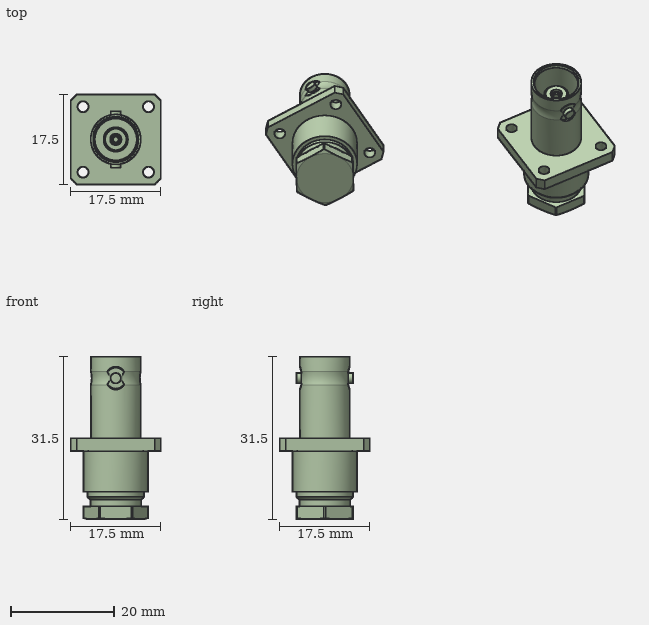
import cadquery as cq
import math

TOTAL_HEIGHT = 31.5
NUT_TOP = 2.5
NECK_TOP = 3.75
RING_CONE_TOP = 4.3
COLLAR_BOTTOM = 5.3
FLANGE_BOTTOM = 13.2
FLANGE_TOP = 15.72
GROOVE_BOTTOM = 26.05
PIN_HEIGHT = 27.35
GROOVE_TOP = 28.63

NUT_ACROSS_FLATS = 11.02
COLLAR_DIA = 12.55
RING_DIA = NUT_ACROSS_FLATS
NECK_DIA = 9.9
NUT_BEVEL_HEIGHT = 0.22

FLANGE_SIDE = 17.5
FLANGE_CORNER = 1.2
HOLE_SPACING = 12.7
HOLE_DIA = 2.08

TUBE_DIA = 9.7
GROOVE_DEPTH = 0.15
SPOTFACE_DIA = 4.03
SPOTFACE_FLARE = 35.0
SPOTFACE_ACROSS = 9.1
PIN_DIA = 2.02
PIN_TIP_SPAN = 11.02

MOUTH_DIA = 8.82
ENTRY_DIA = 8.4
FLOOR_DIA = 8.1
MOUTH_DEPTH = 0.45
CAVITY_DEPTH = 8.82

INSULATOR_DIA = 4.75
INSULATOR_RECESS = 3.3
INSULATOR_CHAMFER = 0.3
CONTACT_SEAT_DIA = 2.25
CONTACT_RIM_DIA = 1.92
CONTACT_RIM_RECESS = 0.47
CONTACT_FUNNEL_DIA = 1.58
CONTACT_BORE_DIA = 1.1
CONTACT_FUNNEL_DEPTH = 0.25
CONTACT_BORE_DEPTH = 2.52


def disc(diameter, bottom, top):
    """Upright cylinder on the Z axis."""
    return cq.Workplane("XY").workplane(offset=bottom).circle(diameter / 2).extrude(top - bottom)


def turned(stations):
    """Solid of revolution about Z through (diameter, height) stations, listed from one end to the other."""
    profile = [(diameter / 2, height) for diameter, height in stations]
    outline = [(0, stations[0][1])] + profile + [(0, stations[-1][1])]
    return cq.Workplane("XZ").polyline(outline).close().revolve(360, (0, 0), (0, 1))


def hex_nut():
    """Hexagon with two corners on X, its corners turned down and its lower rim bevelled."""
    across_corners = NUT_ACROSS_FLATS / math.cos(math.pi / 6)
    hexagon = cq.Workplane("XY").polygon(6, across_corners).extrude(NUT_TOP)
    envelope = turned([
        (NUT_ACROSS_FLATS, 0),
        (COLLAR_DIA, NUT_BEVEL_HEIGHT),
        (COLLAR_DIA, NUT_TOP),
    ])
    return hexagon.intersect(envelope)


def lower_body():
    """Neck, coned ring and collar, from the nut up to the flange."""
    return turned([
        (NECK_DIA, NUT_TOP),
        (NECK_DIA, NECK_TOP),
        (RING_DIA, RING_CONE_TOP),
        (RING_DIA, COLLAR_BOTTOM),
        (COLLAR_DIA, COLLAR_BOTTOM),
        (COLLAR_DIA, FLANGE_BOTTOM),
    ])


def flange():
    """Square plate with cut corners and four mounting holes."""
    return (
        cq.Workplane("XY").workplane(offset=FLANGE_BOTTOM)
        .rect(FLANGE_SIDE, FLANGE_SIDE).extrude(FLANGE_TOP - FLANGE_BOTTOM)
        .edges("|Z").chamfer(FLANGE_CORNER)
        .faces(">Z").workplane()
        .rect(HOLE_SPACING, HOLE_SPACING, forConstruction=True).vertices().hole(HOLE_DIA)
    )


def tube():
    """Solid tube blank with a shallow round groove at the height of the pins."""
    radius = TUBE_DIA / 2
    return (
        cq.Workplane("XZ").moveTo(0, FLANGE_TOP)
        .lineTo(radius, FLANGE_TOP)
        .lineTo(radius, GROOVE_BOTTOM)
        .threePointArc((radius - GROOVE_DEPTH, PIN_HEIGHT), (radius, GROOVE_TOP))
        .lineTo(radius, TOTAL_HEIGHT)
        .lineTo(0, TOTAL_HEIGHT)
        .close().revolve(360, (0, 0), (0, 1))
    )


def spotfaces():
    """Flaring round cutters that leave a flat at the foot of each pin."""
    cutter = (
        cq.Workplane("XZ", origin=(0, -SPOTFACE_ACROSS / 2, PIN_HEIGHT))
        .circle(SPOTFACE_DIA / 2)
        .extrude((PIN_TIP_SPAN - SPOTFACE_ACROSS) / 2, taper=-SPOTFACE_FLARE)
    )
    return cutter.union(cutter.mirror("XZ"))


def pins():
    """Bayonet pins along Y, their tips rounded to a cylinder about Z."""
    cross_bar = (
        cq.Workplane("XZ").center(0, PIN_HEIGHT)
        .circle(PIN_DIA / 2).extrude(PIN_TIP_SPAN, both=True)
    )
    return cross_bar.intersect(disc(PIN_TIP_SPAN, FLANGE_TOP, TOTAL_HEIGHT))


def cavity():
    """Chamfered mouth and a bore that tapers down to a flat floor."""
    return turned([
        (MOUTH_DIA, TOTAL_HEIGHT),
        (ENTRY_DIA, TOTAL_HEIGHT - MOUTH_DEPTH),
        (FLOOR_DIA, TOTAL_HEIGHT - CAVITY_DEPTH),
    ])


def insulator():
    """Chamfered post standing on the cavity floor, with the funnelled contact in its end."""
    top = TOTAL_HEIGHT - INSULATOR_RECESS
    rim = top - CONTACT_RIM_RECESS
    post = disc(INSULATOR_DIA, TOTAL_HEIGHT - CAVITY_DEPTH, top).faces(">Z").chamfer(INSULATOR_CHAMFER)
    contact_hole = turned([
        (CONTACT_SEAT_DIA, top),
        (CONTACT_RIM_DIA, rim),
        (CONTACT_FUNNEL_DIA, rim),
        (CONTACT_BORE_DIA, rim - CONTACT_FUNNEL_DEPTH),
        (CONTACT_BORE_DIA, rim - CONTACT_BORE_DEPTH),
    ])
    return post.cut(contact_hole)


socket = tube().cut(spotfaces()).union(pins()).cut(cavity()).union(insulator())
result = hex_nut().union(lower_body()).union(flange()).union(socket)